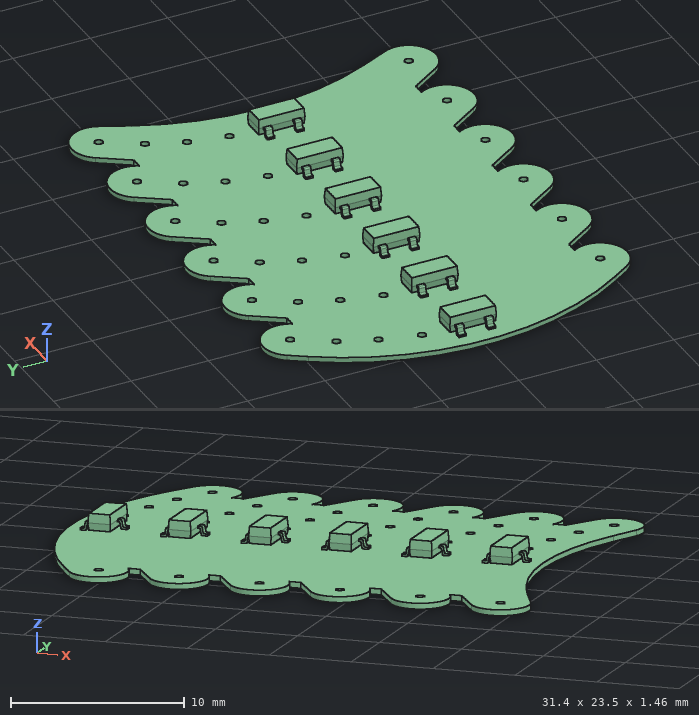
import cadquery as cq
import math

board_thickness = 0.36
strip_count = 6
strip_pitch = 4.9
last_tab_x = (strip_count - 1) * strip_pitch

tab_radius = 1.75
tab_y = 10.0
notch_floor_y = 9.1

end_arc_radius = 18.0
left_end_x = -5.13
right_end_x = last_tab_x - 0.86

hole_diameter = 0.5
inner_hole_rows = [
    (-1.37, 7.71, strip_pitch),
    (-2.28, 5.45, strip_pitch),
    (-2.95, 2.98, 4.93),
]

sensor_offset_x = -2.93
sensor_y = 0.02
body_width = 1.38
body_length = 3.0
body_top = 1.1
body_bottom = 0.1
parting_height = 0.55
body_draft = 5.0

lead_span = 2.5
lead_width = 0.46
lead_thickness = 0.12
lead_bend_radius = 0.1
lead_top = parting_height
lead_shoulder_x = 0.94
lead_heel_x = 1.02
lead_root_x = body_width / 4
paired_lead_y = 0.95


def make_board():
    left_center_x = left_end_x + end_arc_radius
    left_angle = math.atan2(tab_y, left_center_x) - math.acos(
        (end_arc_radius - tab_radius) / math.hypot(left_center_x, tab_y))
    left_cos = math.cos(left_angle)
    left_sin = math.sin(left_angle)
    left_arc_x = left_center_x - end_arc_radius * left_cos
    left_arc_y = end_arc_radius * left_sin

    tab_start_x = -tab_radius * left_cos
    tab_start_y = tab_y + tab_radius * left_sin
    flank_foot_x = tab_start_x - (tab_start_y - notch_floor_y) * math.tan(left_angle)
    notch_x = math.sqrt(tab_radius**2 - (tab_y - notch_floor_y)**2)

    right_center_x = right_end_x + end_arc_radius
    right_reach = right_center_x - last_tab_x
    right_angle = math.atan2(tab_y, right_reach) - math.acos(
        (end_arc_radius + tab_radius) / math.hypot(right_reach, tab_y))
    right_cos = math.cos(right_angle)
    right_sin = math.sin(right_angle)
    right_arc_x = right_center_x - end_arc_radius * right_cos
    right_arc_y = end_arc_radius * right_sin
    last_tab_end = (last_tab_x + tab_radius * right_cos, tab_y - tab_radius * right_sin)

    def mirrored(point):
        return (point[0], -point[1])

    outline = cq.Workplane("XY").moveTo(left_arc_x, left_arc_y)

    for strip in range(strip_count):
        x = strip * strip_pitch
        is_last = strip == strip_count - 1
        tab_end = last_tab_end if is_last else (x + notch_x, notch_floor_y)
        outline = outline.lineTo(x + tab_start_x, tab_start_y)
        outline = outline.threePointArc((x, tab_y + tab_radius), tab_end)
        if not is_last:
            outline = outline.lineTo(x + strip_pitch + flank_foot_x, notch_floor_y)

    outline = outline.lineTo(right_arc_x, right_arc_y)
    outline = outline.threePointArc((right_end_x, 0), (right_arc_x, -right_arc_y))
    outline = outline.lineTo(*mirrored(last_tab_end))

    for strip in reversed(range(strip_count)):
        x = strip * strip_pitch
        if strip < strip_count - 1:
            outline = outline.lineTo(x + notch_x, -notch_floor_y)
        outline = outline.threePointArc((x, -tab_y - tab_radius), (x + tab_start_x, -tab_start_y))
        if strip > 0:
            outline = outline.lineTo(x + flank_foot_x, -notch_floor_y)

    outline = outline.lineTo(left_arc_x, -left_arc_y)
    outline = outline.threePointArc((left_end_x, 0), (left_arc_x, left_arc_y))
    plate = outline.close().extrude(board_thickness)

    tab_rows = [(0, tab_y, strip_pitch), (0, -tab_y, strip_pitch)]
    hole_points = [
        (offset + strip * pitch, y)
        for offset, y, pitch in tab_rows + inner_hole_rows
        for strip in range(strip_count)
    ]
    holes = cq.Workplane("XY").pushPoints(hole_points).circle(hole_diameter / 2).extrude(board_thickness)
    return plate.cut(holes)


def make_lead(y):
    """One gull-wing lead pointing toward +X, centred on the given Y."""
    tip_x = lead_span / 2
    profile = [
        (lead_root_x, lead_top),
        (lead_shoulder_x, lead_top),
        (lead_heel_x, lead_thickness),
        (tip_x, lead_thickness),
        (tip_x, 0),
        (lead_heel_x - lead_thickness, 0),
        (lead_shoulder_x - lead_thickness, lead_top - lead_thickness),
        (lead_root_x, lead_top - lead_thickness),
    ]
    lead = cq.Workplane("XZ").polyline(profile).close().extrude(lead_width / 2, both=True)
    bends = lead.edges("|Y").edges("not(<X or >X)")
    return bends.fillet(lead_bend_radius).translate((0, y, 0))


def make_body_half(end_height):
    """Package body from the parting line to the given height, narrowing away from the line."""
    parting = cq.Workplane("XY", origin=(0, 0, parting_height)).rect(body_width, body_length)
    return parting.extrude(end_height - parting_height, taper=body_draft)


def make_sensor():
    """One package with its leads, standing on Z = 0 and centred on the Z axis."""
    upper_half = make_body_half(body_top)
    lower_half = make_body_half(body_bottom)
    sensor = upper_half.union(lower_half)

    sensor = sensor.union(make_lead(0))
    for y in (-paired_lead_y, paired_lead_y):
        sensor = sensor.union(make_lead(y).mirror("YZ"))
    return sensor


board = make_board()

sensor = make_sensor()
sensors = [
    sensor.translate((strip * strip_pitch + sensor_offset_x, sensor_y, board_thickness))
    for strip in range(strip_count)
]

result = cq.Compound.makeCompound([board.val(), *[placed.val() for placed in sensors]])